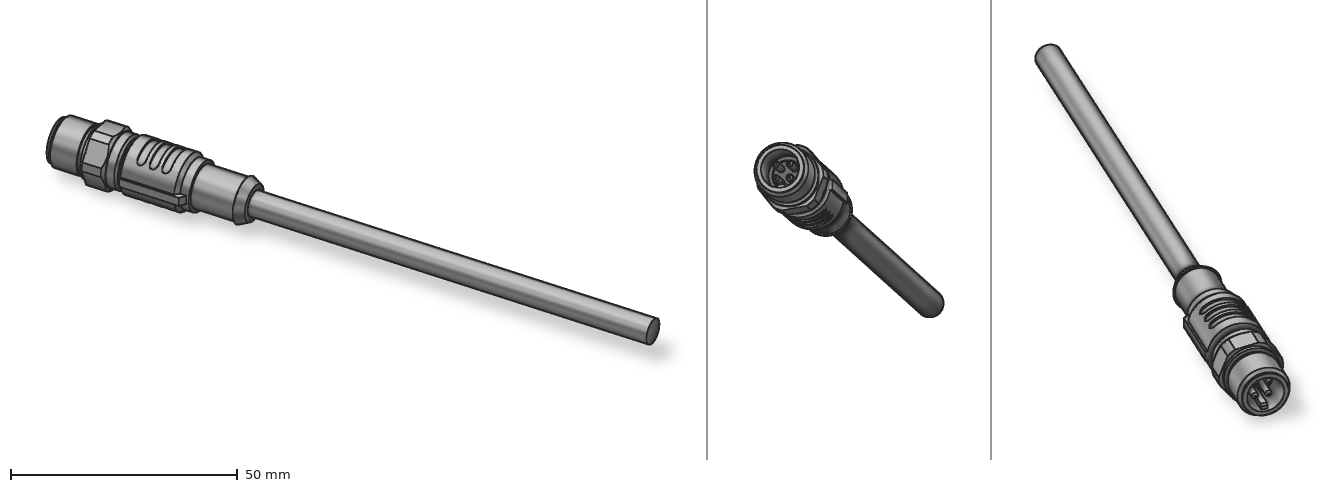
import cadquery as cq
import math

TOTAL_LENGTH = 148.9

NOSE_TIP_R = 5.4
THREAD_R = 6.1
NOSE_TIP_END = 0.6
THREAD_START = 1.3
THREAD_END = 7.9
NOSE_NECK_R = 5.7

FLANGE_START = 9.1
NUT_START = 10.0
NUT_END = 15.5
NUT_SIDES = 6
NUT_ACROSS_CORNERS = 15.0
NUT_ACROSS_FLATS = 14.0
NUT_TURN_DEGREES = 52.0
NUT_CHAMFER = 0.7
COLLAR_R = 6.5
COLLAR_END = 18.2
COLLAR_CHAMFER = 0.6
NECK_R = 4.9

GRIP_START = 19.4
GRIP_R = 7.0
GRIP_TAPER_START = 32.8
GRIP_TAPER_END = 33.8
GRIP_END = 36.0
GRIP_END_R = 6.1

WING_REACH = 7.5
WING_WIDTH = 2.2
WING_TAPER_START = 34.2

SLOT_COUNT = 3
FIRST_SLOT_X = 23.2
SLOT_PITCH = 3.1
SLOT_WIDTH = 2.1
SLOT_LENGTH = 10.4
SLOT_DEPTH = 0.5

SLEEVE_R = 5.2
LIP_X = 46.8
LIP_R = 5.7
SLEEVE_END = 49.1
SLEEVE_END_R = 4.5
CABLE_DIAMETER = 6.1

BORE_R = 4.3
BORE_DEPTH = 7.5
RECESS_R = 3.4
RECESS_DEPTH = 0.7
KEY_WIDTH = 1.5
KEY_INNER_R = 3.0
KEY_START = 0.9
KEY_CHAMFER = 0.5
PIN_R = 0.7
PIN_SPACING = 3.1
PIN_TIP_X = 2.2
PIN_CHAMFER = 0.5


def cylinder(radius, start, end):
    """Solid cylinder on the X axis between two stations."""
    return cq.Workplane("YZ", origin=(start, 0, 0)).circle(radius).extrude(end - start)


def make_turned_body():
    """Everything round about the axis, from the plug face to the end of the cable."""
    profile = [
        (0, 0),
        (0, NOSE_TIP_R),
        (NOSE_TIP_END, NOSE_TIP_R),
        (THREAD_START, THREAD_R),
        (THREAD_END, THREAD_R),
        (THREAD_END, NOSE_NECK_R),
        (FLANGE_START, NOSE_NECK_R),
        (FLANGE_START, COLLAR_R),
        (COLLAR_END - COLLAR_CHAMFER, COLLAR_R),
        (COLLAR_END, COLLAR_R - COLLAR_CHAMFER),
        (COLLAR_END, NECK_R),
        (GRIP_START, NECK_R),
        (GRIP_START, GRIP_R),
        (GRIP_TAPER_START, GRIP_R),
        (GRIP_TAPER_END, GRIP_END_R),
        (GRIP_END, GRIP_END_R),
        (GRIP_END, SLEEVE_R),
        (LIP_X, SLEEVE_R),
        (LIP_X, LIP_R),
        (SLEEVE_END, SLEEVE_END_R),
        (SLEEVE_END, CABLE_DIAMETER / 2),
        (TOTAL_LENGTH, CABLE_DIAMETER / 2),
        (TOTAL_LENGTH, 0),
    ]
    return cq.Workplane("XY").polyline(profile).close().revolve(360, (0, 0, 0), (1, 0, 0))


def make_nut():
    """Hexagon with its corners turned down to a cylinder and chamfered at the rear end."""
    length = NUT_END - NUT_START
    sharp_across_corners = NUT_ACROSS_FLATS / math.cos(math.pi / NUT_SIDES)
    hexagon = (
        cq.Workplane("YZ", origin=(NUT_START, 0, 0))
        .polygon(NUT_SIDES, sharp_across_corners)
        .extrude(length)
        .rotate((0, 0, 0), (1, 0, 0), NUT_TURN_DEGREES)
    )
    blank = cylinder(NUT_ACROSS_CORNERS / 2, NUT_START, NUT_END).faces(">X").chamfer(NUT_CHAMFER)
    return hexagon.intersect(blank)


def make_wings():
    """Flat bar through the grip that stands out as a rib on each side."""
    outline = [
        (GRIP_START, -WING_REACH),
        (WING_TAPER_START, -WING_REACH),
        (GRIP_END, -SLEEVE_R),
        (GRIP_END, SLEEVE_R),
        (WING_TAPER_START, WING_REACH),
        (GRIP_START, WING_REACH),
    ]
    return cq.Workplane("XY").polyline(outline).close().extrude(WING_WIDTH / 2, both=True)


def make_finger_slots():
    """Shallow round-ended slots whose floors follow the curve of the grip."""
    slots = (
        cq.Workplane("XY")
        .pushPoints([(FIRST_SLOT_X + i * SLOT_PITCH, 0) for i in range(SLOT_COUNT)])
        .slot2D(SLOT_LENGTH, SLOT_WIDTH, 90)
        .extrude(GRIP_R, both=True)
    )
    return slots.cut(cylinder(GRIP_R - SLOT_DEPTH, GRIP_START, GRIP_END))


def make_socket():
    """Bore and recess to be removed from the nose, less the chamfered key on the bore wall."""
    floor = BORE_DEPTH + RECESS_DEPTH
    hollow = cylinder(BORE_R, 0, BORE_DEPTH).union(cylinder(RECESS_R, BORE_DEPTH, floor))
    key_middle = -(KEY_INNER_R + BORE_R) / 2
    key = (
        cq.Workplane("YZ", origin=(KEY_START, 0, 0))
        .center(0, key_middle)
        .rect(KEY_WIDTH, BORE_R - KEY_INNER_R)
        .extrude(floor - KEY_START)
        .edges("<X and >Z")
        .chamfer(KEY_CHAMFER)
    )
    return hollow.cut(key)


def make_pins():
    """Four contact pins with chamfered tips, rooted below the recess floor."""
    root = BORE_DEPTH + 2 * RECESS_DEPTH
    return (
        cq.Workplane("YZ", origin=(PIN_TIP_X, 0, 0))
        .rect(PIN_SPACING, PIN_SPACING, forConstruction=True)
        .vertices()
        .circle(PIN_R)
        .extrude(root - PIN_TIP_X)
        .faces("<X")
        .chamfer(PIN_CHAMFER)
    )


body = make_turned_body().union(make_nut()).union(make_wings())
body = body.cut(make_finger_slots()).cut(make_socket())
result = body.union(make_pins())